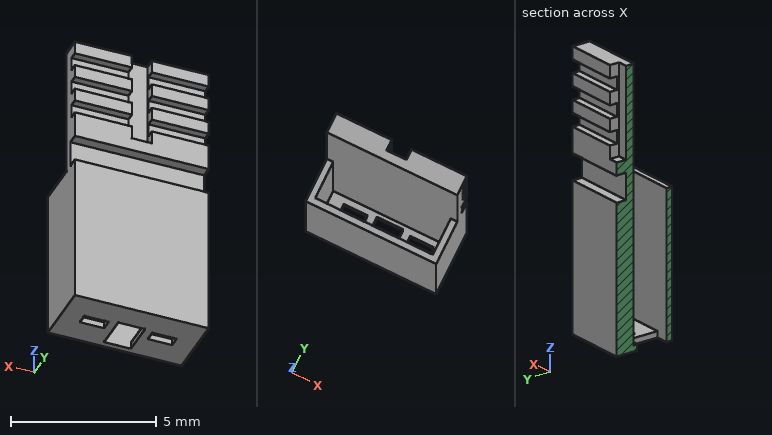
import cadquery as cq

width = 5.0
depth = 2.4
height = 10.75

plate_height = 5.0
plate_thickness = 0.75
housing_height = height - plate_height

wall = 0.25
floor_thickness = wall

groove_count = 3
groove_width = 0.5
groove_depth = 0.3
groove_pitch = 2 * groove_width

relief_height = 1.0
relief_depth = 0.4

notch_width = 0.75
notch_depth = 0.4
notch_length = 3.5

window_width = 1.0
window_length = 1.25
pin_slot_width = 0.9
pin_slot_length = 0.4
pin_pitch = 2.54
pin_slot_setback = 1.0

back_y = depth / 2
front_y = -depth / 2
cavity_front_y = front_y + wall


def block(size_x, y_min, y_max, z_min, z_max, center_x=0.0):
    """Box centred on center_x and spanning the given Y and Z ranges."""
    box = cq.Workplane("XY").box(size_x, y_max - y_min, z_max - z_min, centered=(True, False, False))
    return box.translate((center_x, y_min, z_min))


def make_housing():
    """Open-topped housing whose back wall is as thick as the plate."""
    outer = block(width, front_y, back_y, 0, housing_height)
    cavity = block(width - 2 * wall, cavity_front_y, back_y - plate_thickness, floor_thickness, housing_height)
    return outer.cut(cavity)


def make_plate():
    """Back plate with its grip grooves, relief and central notch."""
    plate = block(width, back_y - plate_thickness, back_y, housing_height, height)
    for index in range(groove_count):
        groove_top = height - groove_width - index * groove_pitch
        plate = plate.cut(block(width, back_y - groove_depth, back_y, groove_top - groove_width, groove_top))
    relief_top = housing_height + relief_height
    plate = plate.cut(block(width, back_y - relief_depth, back_y, housing_height, relief_top))
    return plate.cut(block(notch_width, back_y - notch_depth, back_y, height - notch_length, height))


def cut_floor_openings(body):
    """Central window against the front wall, with a pin slot on each side."""
    window_back_y = cavity_front_y + window_length
    body = body.cut(block(window_width, cavity_front_y, window_back_y, 0, floor_thickness))
    slot_back_y = back_y - pin_slot_setback
    slot_front_y = slot_back_y - pin_slot_length
    for side in (-1, 1):
        slot_x = side * pin_pitch / 2
        body = body.cut(block(pin_slot_width, slot_front_y, slot_back_y, 0, floor_thickness, slot_x))
    return body


result = cut_floor_openings(make_housing().union(make_plate()))